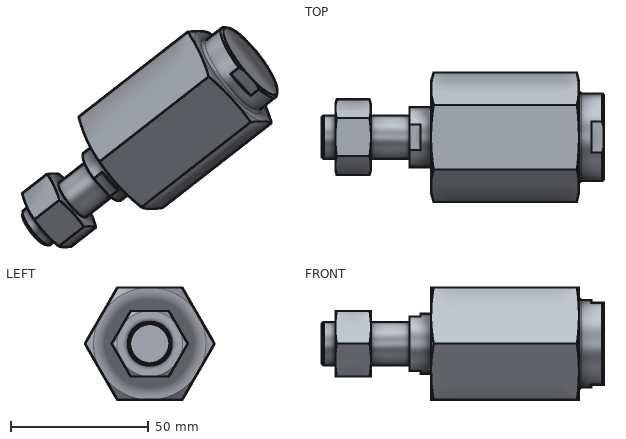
import cadquery as cq
import math

total_length = 103.0
rod_start = -total_length / 2
nut_start = rod_start + 5.0
nut_length = 13.0
collar_start = rod_start + 32.0
body_start = rod_start + 40.0
body_end = rod_start + 93.8
cap_end = rod_start + total_length

rod_diameter = 16.0
rod_chamfer = 0.8
nut_across_flats = 24.0
nut_corner_depth = 0.5
collar_diameter = 22.0
collar_across_flats = 20.0
collar_flat_length = 4.0
body_across_flats = 41.0
body_rod_corner_depth = 0.9
body_cap_corner_depth = 0.7
cap_diameter = 32.0
cap_across_flats = 30.0
cap_flat_length = 4.6
cap_chamfer = 0.7
cap_root_fillet = 1.0


def cylinder(start, length, diameter):
    """Round bar along X."""
    return cq.Workplane("YZ", origin=(start, 0, 0)).circle(diameter / 2).extrude(length)


def hexagon(start, length, across_flats, start_corner_depth, end_corner_depth):
    """Hexagonal bar along X, flats facing up and down, corners turned to a cone at both ends."""
    across_corners = across_flats / math.cos(math.pi / 6)
    face_radius = across_flats / 2
    corner_radius = across_corners / 2
    end = start + length
    prism = cq.Workplane("YZ", origin=(start, 0, 0)).polygon(6, across_corners).extrude(length)
    envelope = (
        cq.Workplane("XY")
        .moveTo(start, 0)
        .lineTo(start, face_radius)
        .lineTo(start + start_corner_depth, corner_radius)
        .lineTo(end - end_corner_depth, corner_radius)
        .lineTo(end, face_radius)
        .lineTo(end, 0)
        .close()
        .revolve(360, (0, 0, 0), (1, 0, 0))
    )
    return prism.intersect(envelope)


def wrench_flats(bar, start, length, diameter, across_flats):
    """Cut a pair of opposite flats, facing up and down, into a round bar."""
    flat_depth = (diameter - across_flats) / 2
    for side in (-1, 1):
        middle_height = side * (across_flats + flat_depth) / 2
        cutter = cq.Workplane("XY").box(length, diameter, flat_depth)
        bar = bar.cut(cutter.translate((start + length / 2, 0, middle_height)))
    return bar


rod = cylinder(rod_start, body_start - rod_start, rod_diameter).faces("<X").chamfer(rod_chamfer)
nut = hexagon(nut_start, nut_length, nut_across_flats, nut_corner_depth, nut_corner_depth)

collar = cylinder(collar_start, body_start - collar_start, collar_diameter)
collar = wrench_flats(collar, collar_start, collar_flat_length, collar_diameter, collar_across_flats)

body_length = body_end - body_start
body = hexagon(body_start, body_length, body_across_flats, body_rod_corner_depth, body_cap_corner_depth)

cap = cylinder(body_end, cap_end - body_end, cap_diameter).faces(">X").chamfer(cap_chamfer)
cap = wrench_flats(cap, cap_end - cap_flat_length, cap_flat_length, cap_diameter, cap_across_flats)
root_radius = cap_diameter / 2 + cap_root_fillet
root = (
    cq.Workplane("XY")
    .moveTo(body_end, 0)
    .lineTo(body_end, root_radius)
    .radiusArc((body_end + cap_root_fillet, cap_diameter / 2), -cap_root_fillet)
    .lineTo(body_end + cap_root_fillet, 0)
    .close()
    .revolve(360, (0, 0, 0), (1, 0, 0))
)

result = rod.union(nut).union(collar).union(body).union(cap).union(root)